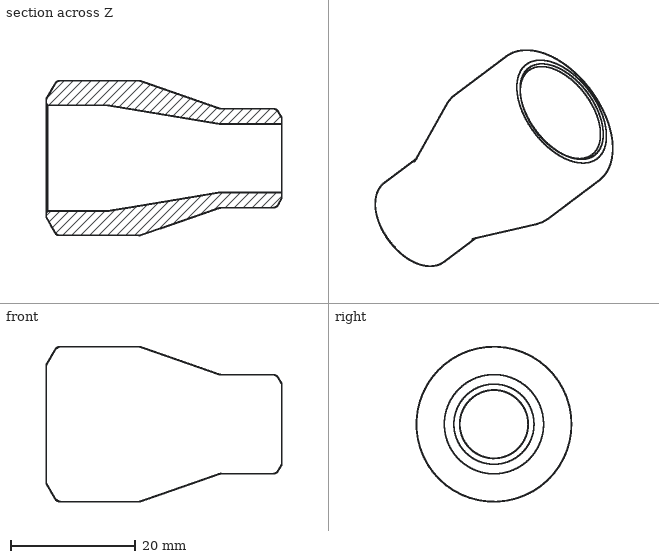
import cadquery as cq
import math

length = 38.0
large_radius = 25.0 / 2
small_radius = 16.0 / 2

taper_start = 15.1
taper_end = 28.0

large_end_radius = 9.5
small_end_radius = 6.45
bevel_angle = math.radians(60)
edge_round = 1.0

large_bore_radius = 17.0 / 2
small_bore_radius = 11.0 / 2
mouth_radius = 8.8
mouth_chamfer_length = 0.3
bore_taper_start = 10.0
bore_taper_end = taper_end


def bevel_length(outer_radius, end_radius):
    """Axial length of a bevel from a cylinder down to its end ring."""
    return (outer_radius - end_radius) / math.tan(bevel_angle)


def revolve_profile(points):
    """Turn a closed outline of (x, radius) points about the X axis."""
    return cq.Workplane("XY").polyline(points).close().revolve(360, (0, 0, 0), (1, 0, 0))


def make_body():
    large_bevel_end = bevel_length(large_radius, large_end_radius)
    small_bevel_start = length - bevel_length(small_radius, small_end_radius)
    body = revolve_profile([
        (0, 0),
        (0, large_end_radius),
        (large_bevel_end, large_radius),
        (taper_start, large_radius),
        (taper_end, small_radius),
        (small_bevel_start, small_radius),
        (length, small_end_radius),
        (length, 0),
    ])
    rounded_edges = body.edges("%CIRCLE").edges("not(<X or >X)")
    return rounded_edges.fillet(edge_round)


def make_bore():
    return revolve_profile([
        (0, 0),
        (0, mouth_radius),
        (mouth_chamfer_length, large_bore_radius),
        (bore_taper_start, large_bore_radius),
        (bore_taper_end, small_bore_radius),
        (length, small_bore_radius),
        (length, 0),
    ])


result = make_body().cut(make_bore())